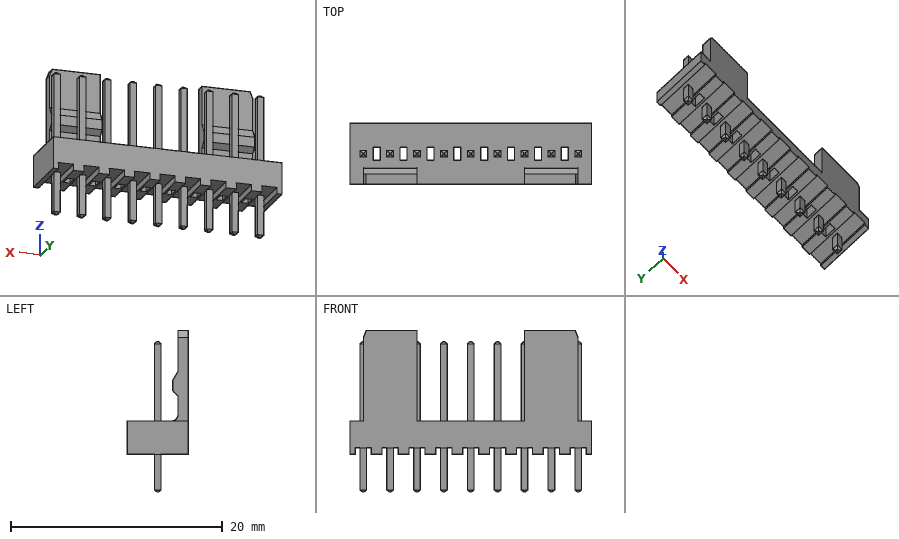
import cadquery as cq

pin_count = 9
base_length = 22.85
base_depth = 5.8
base_height = 3.15
pitch = base_length / pin_count

groove_width = 1.5
groove_height = 0.62

window_length = 0.65
window_depth = 1.2

pin_width = 0.65
pin_bottom = -3.57
pin_top = 10.65
tip_height = 0.2
tip_width = 0.15

tab_width = 2 * pitch
tab_height = 8.55
tab_thickness = 1.0
tab_fillet = 0.6
corner_width = 0.27
corner_height = 0.69

bump_depth = 0.5
bump_bottom = 2.35
bump_flat_bottom = 2.85
bump_flat_top = 3.85
bump_top = 4.66

first_pin_x = -(pin_count - 1) / 2 * pitch
front_y = -base_depth / 2
pin_points = [(first_pin_x + i * pitch, 0) for i in range(pin_count)]
window_points = [(x + pitch / 2, 0) for x, _ in pin_points[:-1]]


def make_base():
    base = cq.Workplane("XY").box(base_length, base_depth, base_height, centered=(True, True, False))
    grooves = (
        cq.Workplane("XY")
        .pushPoints(pin_points)
        .rect(groove_width, base_depth)
        .extrude(groove_height)
    )
    windows = (
        cq.Workplane("XY")
        .pushPoints(window_points)
        .rect(window_length, window_depth)
        .extrude(base_height)
    )
    return base.cut(grooves).cut(windows)


def make_left_tab():
    """Tab starting at the first pin, with its outer top corner cut off."""
    inner_y = front_y + tab_thickness
    bump_y = inner_y + bump_depth
    top = base_height + tab_height
    tab = (
        cq.Workplane("YZ", origin=(first_pin_x, 0, 0))
        .moveTo(front_y, base_height)
        .lineTo(inner_y + tab_fillet, base_height)
        .radiusArc((inner_y, base_height + tab_fillet), tab_fillet)
        .lineTo(inner_y, base_height + bump_bottom)
        .lineTo(bump_y, base_height + bump_flat_bottom)
        .lineTo(bump_y, base_height + bump_flat_top)
        .lineTo(inner_y, base_height + bump_top)
        .lineTo(inner_y, top)
        .lineTo(front_y, top)
        .close()
        .extrude(tab_width)
    )
    corner = (
        cq.Workplane("XZ", origin=(0, front_y, 0))
        .moveTo(first_pin_x, top - corner_height)
        .lineTo(first_pin_x + corner_width, top)
        .lineTo(first_pin_x, top)
        .close()
        .extrude(-tab_thickness)
    )
    return tab.cut(corner)


def make_tip(shoulder_z, end_z):
    """Tapered pin end, narrowing from shoulder_z to end_z."""
    return (
        cq.Workplane("XY", origin=(0, 0, shoulder_z))
        .rect(pin_width, pin_width)
        .workplane(offset=end_z - shoulder_z)
        .rect(tip_width, tip_width)
        .loft(ruled=True)
    )


def make_pin():
    lower_shoulder = pin_bottom + tip_height
    upper_shoulder = pin_top - tip_height
    shaft = (
        cq.Workplane("XY", origin=(0, 0, lower_shoulder))
        .rect(pin_width, pin_width)
        .extrude(upper_shoulder - lower_shoulder)
    )
    return shaft.union(make_tip(lower_shoulder, pin_bottom)).union(make_tip(upper_shoulder, pin_top))


left_tab = make_left_tab()
result = make_base().union(left_tab).union(left_tab.mirror("YZ"))

pin = make_pin()
for point in pin_points:
    result = result.union(pin.translate((*point, 0)))